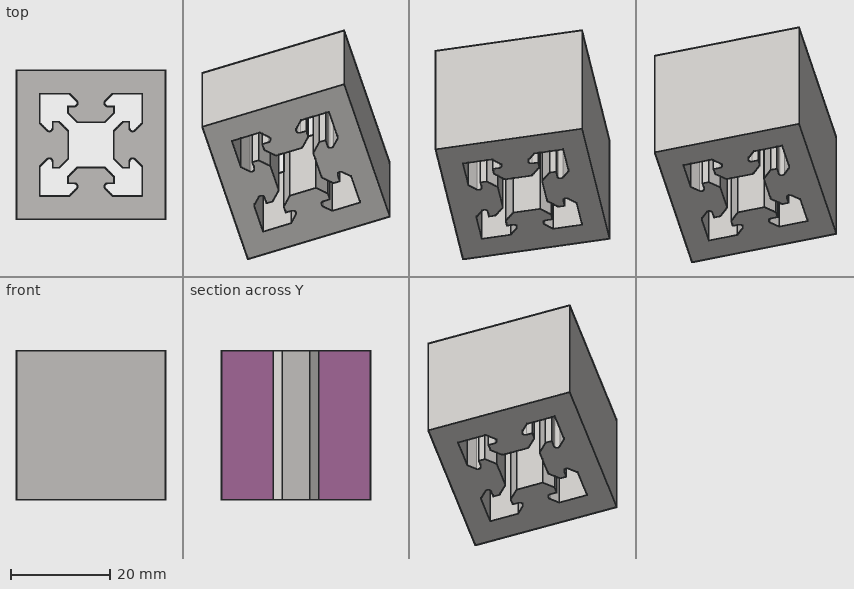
import cadquery as cq

side = 30.0

cavity_half = 10.25
neck_start = 4.35
hook_half = 4.65
hook_back = 7.75
hook_corner = 6.42
head_face = 4.53
undercut_radius = 0.63

undercut_tip = neck_start - (cavity_half - hook_back)
face_half = hook_half - (hook_corner - head_face)


def make_rail():
    """Full-height T-shaped rail on the +Y cavity wall."""
    half_profile = [
        (neck_start, cavity_half),
        (undercut_tip, hook_back),
        (hook_half, hook_back),
        (hook_half, hook_corner),
        (face_half, head_face),
    ]
    mirrored = [(-x, y) for x, y in reversed(half_profile)]
    rail = cq.Workplane("XY").polyline(half_profile + mirrored).close().extrude(side)
    for tip_x in (-undercut_tip, undercut_tip):
        undercut_edge = cq.selectors.NearestToPointSelector((tip_x, hook_back, side / 2))
        rail = rail.edges("|Z").edges(undercut_edge).fillet(undercut_radius)
    return rail


cavity = cq.Workplane("XY").rect(2 * cavity_half, 2 * cavity_half).extrude(side)
rail = make_rail()
for quarter_turn in range(4):
    cavity = cavity.cut(rail.rotate((0, 0, 0), (0, 0, 1), 90 * quarter_turn))

block = cq.Workplane("XY").rect(side, side).extrude(side)
result = block.cut(cavity)